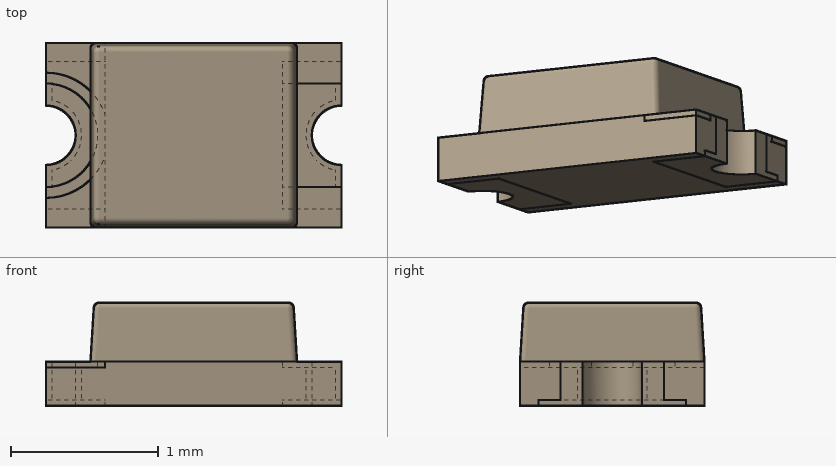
import cadquery as cq

length = 2.0
width = 1.25
board_height = 0.3
notch_radius = 0.2

plating = 0.04
pad_length = 0.4
top_pad_half_width = 0.35
bottom_pad_width = 1.0

mark_depth = 0.04
mark_length = 0.4
mark_clear_radius = 0.425

lens_length = 1.4
lens_width = width
lens_height = 0.4
lens_draft = 3.5
lens_edge_radius = 0.04

end_x = length / 2


def block(x_min, x_max, y_size, z_min, z_max):
    """Box centred on Y, between the given X and Z limits."""
    return (
        cq.Workplane("XY", origin=((x_min + x_max) / 2, 0, z_min))
        .box(x_max - x_min, y_size, z_max - z_min, centered=(True, True, False))
    )


def disc(x_center, radius, z_min, z_max):
    """Upright cylinder on the X axis, between the given Z limits."""
    return cq.Workplane("XY", origin=(x_center, 0, z_min)).circle(radius).extrude(z_max - z_min)


def plated_end(top_pad):
    """Terminal at the -X end: top pad, end plate, notch lining and bottom pad."""
    envelope = block(-end_x, -end_x + pad_length, width, 0, board_height)
    end_plate = block(-end_x, -end_x + plating, 2 * top_pad_half_width, 0, board_height)
    bottom_pad = block(-end_x, -end_x + pad_length, bottom_pad_width, 0, plating)
    lining = disc(-end_x, notch_radius + plating, 0, board_height).intersect(envelope)
    notch = disc(-end_x, notch_radius, 0, board_height)
    return top_pad.union(end_plate).union(bottom_pad).union(lining).cut(notch)


def make_round_terminal():
    """-X terminal, whose top pad is a half disc."""
    pad_bottom = board_height - plating
    top_pad = disc(-end_x, top_pad_half_width, pad_bottom, board_height).intersect(
        block(-end_x, -end_x + pad_length, width, pad_bottom, board_height)
    )
    return plated_end(top_pad)


def make_square_terminal():
    """+X terminal, whose top pad is a straight strip."""
    top_pad = block(
        -end_x, -end_x + pad_length, 2 * top_pad_half_width, board_height - plating, board_height
    )
    return plated_end(top_pad).mirror("YZ")


def make_mark(side):
    """Corner mark on the +Y (side = 1) or -Y (side = -1) half."""
    mark_bottom = board_height - mark_depth
    corner = (
        cq.Workplane("XY", origin=(-end_x + mark_length / 2, side * width / 4, mark_bottom))
        .box(mark_length, width / 2, mark_depth, centered=(True, True, False))
    )
    return corner.cut(disc(-end_x, mark_clear_radius, mark_bottom, board_height))


def make_substrate(inlays):
    """Notched board with a matching recess for every inlaid body."""
    board = block(-end_x, end_x, width, 0, board_height)
    for notch_x in (-end_x, end_x):
        board = board.cut(disc(notch_x, notch_radius, 0, board_height))
    for inlay in inlays:
        board = board.cut(inlay)
    return board


def make_lens():
    """Drafted block with rounded corners and a rounded top rim."""
    lens = (
        cq.Workplane("XY", origin=(0, 0, board_height))
        .rect(lens_length, lens_width)
        .extrude(lens_height, taper=lens_draft)
    )
    return lens.edges("not <Z").fillet(lens_edge_radius)


round_terminal = make_round_terminal()
square_terminal = make_square_terminal()
marks = [make_mark(side) for side in (1, -1)]
substrate = make_substrate([round_terminal, square_terminal, *marks])
lens = make_lens()

bodies = [substrate, round_terminal, square_terminal, *marks, lens]
result = cq.Compound.makeCompound([body.solids().val() for body in bodies])